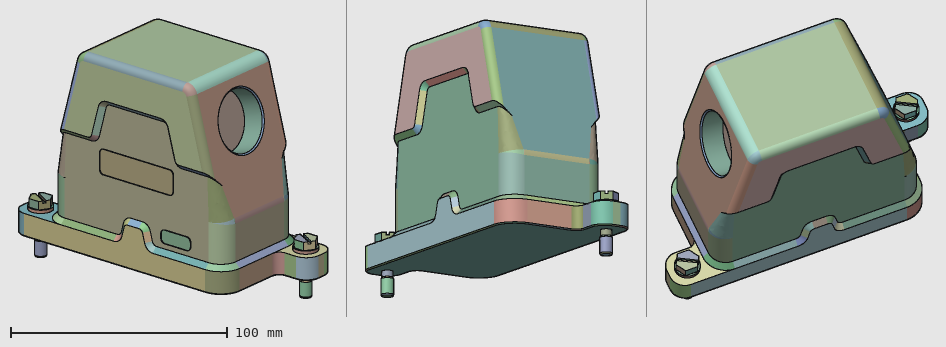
import cadquery as cq
import math

overall_length = 145.0
overall_width = 58.0
half_width = overall_width / 2
base_height = 11.6
base_half_length = 54.4
bottom_chamfer = 0.6
lug_width = 18.8
lug_radius = 7.4
lug_root_radius = 3.9

wall_setback = 2.6
chamfer_angle = 45
wall_half_length = base_half_length - wall_setback
wall_half_width = half_width - wall_setback
wall_corner_radius = 8.7
base_corner_radius = wall_corner_radius + wall_setback

end_angle = math.radians(15)
taper_start = 34.4
taper_blend_radius = 10.5
hood_top = 100.2
upper_corner_radius = 3.6
corner_transition_top = 56.5

cap_end_radius = 6.0
cap_edge_radius = 3.6
ledge_foot = 59.5
ledge_step_top = 80.0
ledge_step_half_width = 19.9
ledge_step_top_radius = 5.0
ledge_step_foot_radius = 2.2
ledge_depth = 10.2

bump_top = 21.8
bump_half_width = 5.1
bump_top_radius = 2.2
bump_foot_radius = 5.1

entry_diameter = 30.6
entry_chamfer = 0.7
entry_height = 76.0
entry_depth = 11.6

name_recess = (-0.5, 48.0, 43.8, 12.8, 2.2)
rating_recess = (23.0, 20.2, 17.7, 6.8, 2.3)
recess_depth = 0.5

screw_x = 63.1
screw_y = 19.6
washer_diameter = 12.0
washer_top = 13.2
head_across_flats = 10.0
head_top = 17.4
slot_width = 1.5
slot_depth = 1.2
slot_angle = -30
thread_diameter = 6.0
neck_diameter = 5.4
neck_bottom = -2.9
thread_end_length = 0.7
screw_bottom = -11.7


def end_x(z):
    """Half length of the housing at height z on its tapered ends."""
    return wall_half_length - (z - taper_start) * math.tan(end_angle)


def rounded_block(half_length, half_breadth, height, radius):
    block = cq.Workplane("XY").box(2 * half_length, 2 * half_breadth, height, centered=(True, True, False))
    return block.edges("|Z").fillet(radius)


def both_ends(solid):
    """A solid together with its copy turned half a turn about Z."""
    return solid.union(solid.rotate((0, 0, 0), (0, 0, 1), 180))


def step_outline(y, top, foot, bottom, top_half, end_half, top_radius, foot_radius):
    """Closed outline at depth y: a flat run with a rounded, sloping-sided step up in the middle."""
    slope = math.tan(end_angle)
    tangent = math.tan((math.pi / 2 - end_angle) / 2)
    foot_half = top_half + (top - foot) * slope
    top_t = top_radius * tangent
    foot_t = foot_radius * tangent
    shift = math.sin(end_angle)
    drop = math.cos(end_angle)
    return (
        cq.Workplane("XZ", origin=(0, y, 0))
        .moveTo(-end_half, bottom)
        .lineTo(-end_half, foot)
        .lineTo(-foot_half - foot_t, foot)
        .radiusArc((-foot_half + foot_t * shift, foot + foot_t * drop), -foot_radius)
        .lineTo(-top_half - top_t * shift, top - top_t * drop)
        .radiusArc((-top_half + top_t, top), top_radius)
        .lineTo(top_half - top_t, top)
        .radiusArc((top_half + top_t * shift, top - top_t * drop), top_radius)
        .lineTo(foot_half - foot_t * shift, foot + foot_t * drop)
        .radiusArc((foot_half + foot_t, foot), -foot_radius)
        .lineTo(end_half, foot)
        .lineTo(end_half, bottom)
        .close()
        .val()
    )


def stepped_solid(growth, top, foot, bottom, top_half, end_half, top_radius, foot_radius):
    """Step outline on the front face, grown by `growth` where it reaches the wall behind it."""
    corner_shift = growth * math.tan((math.pi / 2 - end_angle) / 2)
    front = step_outline(-half_width, top, foot, bottom, top_half, end_half, top_radius, foot_radius)
    back = step_outline(
        -wall_half_width,
        top + growth,
        foot + growth,
        bottom,
        top_half + corner_shift,
        end_half,
        top_radius + growth,
        foot_radius - growth,
    )
    return cq.Workplane(cq.Solid.makeLoft([front, back], True))


def make_base():
    block = rounded_block(base_half_length, half_width, base_height, base_corner_radius)
    lug_length = overall_length / 2
    lug = (
        cq.Workplane("XY")
        .box(lug_length, lug_width, base_height, centered=False)
        .translate((0, half_width - lug_width, 0))
        .edges("|Z and >X")
        .fillet(lug_radius)
    )
    plate = block.union(both_ends(lug))
    root_y = half_width - lug_width
    for side in (-1, 1):
        root = cq.selectors.NearestToPointSelector((side * base_half_length, side * root_y, base_height / 2))
        plate = plate.edges(root).fillet(lug_root_radius)
    return plate.faces("<Z").edges().chamfer(bottom_chamfer)


def make_flare():
    foot = rounded_block(base_half_length, half_width, base_height, base_corner_radius)
    return foot.faces(">Z").wires().toPending().extrude(wall_setback, combine=False, taper=chamfer_angle)


def make_lower_housing():
    """Walls whose rounded corners tighten as the ends taper inwards."""
    sections = (
        (0, wall_half_length, wall_corner_radius),
        (taper_start, wall_half_length, wall_corner_radius),
        (corner_transition_top, end_x(corner_transition_top), upper_corner_radius),
        (ledge_step_top, end_x(ledge_step_top), upper_corner_radius),
    )
    outlines = []
    for z, half_length, radius in sections:
        outline = cq.Sketch().rect(2 * half_length, 2 * wall_half_width).vertices().fillet(radius)
        outlines.append(outline.moved(cq.Location(cq.Vector(0, 0, z))))
    walls = cq.Workplane("XY").placeSketch(*outlines).loft(ruled=True)
    selection_margin = 0.1
    blend_zone = cq.selectors.BoxSelector(
        (-overall_length, -wall_half_width, taper_start - selection_margin),
        (overall_length, wall_half_width, taper_start + selection_margin),
    )
    return walls.edges(blend_zone).edges("not |X").fillet(taper_blend_radius)


def make_cap():
    bottom = ledge_foot - ledge_depth
    cap = (
        cq.Workplane("XZ")
        .polyline(
            [
                (-end_x(bottom), bottom),
                (-end_x(hood_top), hood_top),
                (end_x(hood_top), hood_top),
                (end_x(bottom), bottom),
            ]
        )
        .close()
        .extrude(half_width, both=True)
    )
    cap = cap.faces(">Z").edges("|Y").fillet(cap_end_radius)
    cap = cap.faces("<Y or >Y").edges("not <Z").fillet(cap_edge_radius)
    ledge = (
        cq.Workplane("YZ")
        .polyline(
            [
                (-half_width, hood_top),
                (-half_width, ledge_foot),
                (ledge_depth - half_width, bottom),
                (half_width - ledge_depth, bottom),
                (half_width, ledge_foot),
                (half_width, hood_top),
            ]
        )
        .close()
        .extrude(overall_length / 2, both=True)
    )
    cap = cap.intersect(ledge)
    step = stepped_solid(
        -wall_setback,
        ledge_step_top,
        ledge_foot,
        bottom,
        ledge_step_half_width,
        wall_half_length,
        ledge_step_top_radius,
        ledge_step_foot_radius,
    )
    return cap.cut(both_ends(step))


def make_bumps():
    bump = stepped_solid(
        wall_setback,
        bump_top,
        base_height,
        base_height / 2,
        bump_half_width,
        wall_half_length / 2,
        bump_top_radius,
        bump_foot_radius,
    )
    return both_ends(bump)


def make_cable_entry():
    """Cutter for the blind cable entry and its chamfered mouth."""
    radius = entry_diameter / 2
    mouth = cq.Plane(
        origin=(end_x(entry_height), 0, entry_height),
        xDir=(0, 1, 0),
        normal=(math.cos(end_angle), 0, math.sin(end_angle)),
    )
    bore = cq.Workplane(mouth).circle(radius).extrude(-entry_depth)
    cone = cq.Workplane(mouth).circle(radius + entry_chamfer).extrude(-entry_chamfer, taper=chamfer_angle)
    return bore.union(cone)


def make_recess(centre_x, centre_z, length, height, radius):
    return (
        cq.Workplane("XY")
        .box(length, 2 * recess_depth, height)
        .edges("|Y")
        .fillet(radius)
        .translate((centre_x, -wall_half_width, centre_z))
    )


def make_screw():
    head_across_corners = head_across_flats / math.cos(math.pi / 6)
    head = cq.Workplane("XY", origin=(0, 0, washer_top)).polygon(6, head_across_corners)
    head = head.extrude(head_top - washer_top)
    slot = (
        cq.Workplane("XY", origin=(0, 0, head_top))
        .box(2 * washer_diameter, slot_width, 2 * slot_depth)
        .rotate((0, 0, 0), (0, 0, 1), slot_angle)
    )
    neck_radius = neck_diameter / 2
    thread_radius = thread_diameter / 2
    shank = (
        cq.Workplane("XZ")
        .polyline(
            [
                (0, screw_bottom),
                (neck_radius, screw_bottom),
                (thread_radius, screw_bottom + thread_end_length),
                (thread_radius, neck_bottom - thread_end_length),
                (neck_radius, neck_bottom),
                (neck_radius, base_height),
                (0, base_height),
            ]
        )
        .close()
        .revolve(360, (0, 0, 0), (0, 1, 0))
    )
    washer = cq.Workplane("XY", origin=(0, 0, base_height)).circle(washer_diameter / 2)
    washer = washer.extrude(washer_top - base_height)
    return head.cut(slot).union(washer).union(shank)


housing = make_base().union(make_flare()).union(make_lower_housing()).union(make_bumps()).union(make_cap())
housing = housing.cut(make_cable_entry())
for recess in (name_recess, rating_recess):
    housing = housing.cut(make_recess(*recess))

result = housing
for side in (-1, 1):
    result = result.union(make_screw().translate((side * screw_x, side * screw_y, 0)))